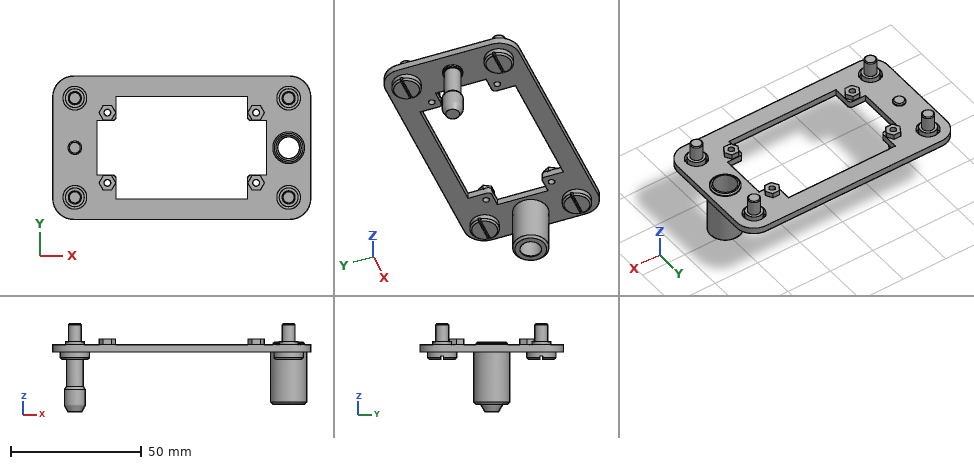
import cadquery as cq
import math

PLATE_LENGTH = 99.0
PLATE_WIDTH = 55.0
PLATE_THICKNESS = 2.9
PLATE_CORNER_RADIUS = 8.1

WINDOW_LONG_X = 64.9
WINDOW_NARROW_Y = 20.8
WINDOW_SHORT_X = 50.3
WINDOW_WIDE_Y = 39.2
TAB_CORNER_RADIUS = 1.5

NUT_X = 28.5
NUT_Y = 13.5
NUT_FLATS = 5.5
NUT_CORNERS = NUT_FLATS / math.cos(math.pi / 6)
NUT_HEIGHT = 2.2
NUT_BORE = 2.5

FASTENER_X = 41.0
SCREW_Y = 19.0
SCREW_HOLE_DIAMETER = 9.1
SCREW_DIAMETER = 5.0
SCREW_TOP = PLATE_THICKNESS + 8.0
SCREW_TIP_CHAMFER = 0.4
COLLAR_DIAMETER = 7.2
COLLAR_TOP = PLATE_THICKNESS + 1.2
HEAD_DIAMETER = 11.3
HEAD_HEIGHT = 2.8
HEAD_CHAMFER = 0.7
SLOT_WIDTH = 1.0
SLOT_DEPTH = 1.3

PIN_LENGTH = 22.9
PIN_TIP_DIAMETER = 5.3
PIN_HEAD_DIAMETER = 8.1
PIN_SHANK_DIAMETER = 6.5
PIN_HEAD_START = 13.2
PIN_SHOULDER_HEIGHT = 1.2
PIN_TAPER_HEIGHT = 2.5
PIN_BLEND_RADIUS = 1.0
PIN_FLANGE_DIAMETER = 7.7
PIN_FLANGE_HEIGHT = 1.1
PIN_FLANGE_CHAMFER = 0.3
PIN_STUB_DIAMETER = 5.1
PIN_STUB_TOP = PLATE_THICKNESS + 1.0
PIN_STUB_CHAMFER = 0.5

BUSHING_LENGTH = 20.0
BUSHING_DIAMETER = 14.0
BUSHING_CHAMFER = 0.9
BUSHING_NECK_DIAMETER = 12.2
BUSHING_TOP = PLATE_THICKNESS + 1.0
BUSHING_NECK_CHAMFER = 0.6
BUSHING_BORE_DIAMETER = 9.7
BUSHING_MOUTH_DIAMETER = 8.2
BUSHING_MOUTH_HEIGHT = 1.3


def cylinder(diameter, bottom, top):
    """Vertical cylinder on the Z axis between two heights."""
    return cq.Workplane("XY").workplane(offset=bottom).circle(diameter / 2).extrude(top - bottom)


def box(length, width, bottom, top):
    """Block centred on the Z axis between two heights."""
    return cq.Workplane("XY").workplane(offset=bottom).rect(length, width).extrude(top - bottom)


def four_corners(x, y):
    """Points mirrored about both the X and Y axes."""
    return [(sx * x, sy * y) for sx in (-1, 1) for sy in (-1, 1)]


def make_plate():
    """Rounded plate with the cross-shaped window."""
    plate = box(PLATE_LENGTH, PLATE_WIDTH, 0, PLATE_THICKNESS)
    plate = plate.edges("|Z").fillet(PLATE_CORNER_RADIUS)

    window = box(WINDOW_LONG_X, WINDOW_NARROW_Y, 0, PLATE_THICKNESS)
    window = window.union(box(WINDOW_SHORT_X, WINDOW_WIDE_Y, 0, PLATE_THICKNESS))
    for x, y in four_corners(WINDOW_SHORT_X / 2, WINDOW_NARROW_Y / 2):
        tab_corner = cq.selectors.NearestToPointSelector((x, y, PLATE_THICKNESS / 2))
        window = window.edges(tab_corner).fillet(TAB_CORNER_RADIUS)
    return plate.cut(window)


def make_nut():
    """Hexagonal nut with two corners on the X direction, before its bore is cut."""
    return (
        cq.Workplane("XY")
        .workplane(offset=PLATE_THICKNESS)
        .polygon(6, NUT_CORNERS)
        .extrude(NUT_HEIGHT)
    )


def make_screw():
    """Screw on the Z axis with its slot along X."""
    head = cylinder(HEAD_DIAMETER, -HEAD_HEIGHT, 0).faces("<Z").chamfer(HEAD_CHAMFER)
    head = head.cut(box(HEAD_DIAMETER, SLOT_WIDTH, -HEAD_HEIGHT, SLOT_DEPTH - HEAD_HEIGHT))
    collar = cylinder(COLLAR_DIAMETER, 0, COLLAR_TOP)
    shank = cylinder(SCREW_DIAMETER, 0, SCREW_TOP).faces(">Z").chamfer(SCREW_TIP_CHAMFER)
    return head.union(collar).union(shank)


def make_guide_pin():
    """Turned pin hanging below the plate, with a short stub standing on top of it."""
    taper_top = PIN_TAPER_HEIGHT - PIN_LENGTH
    head = (
        cq.Workplane("XZ")
        .moveTo(0, -PIN_LENGTH)
        .lineTo(PIN_TIP_DIAMETER / 2, -PIN_LENGTH)
        .lineTo(PIN_HEAD_DIAMETER / 2, taper_top)
        .lineTo(PIN_HEAD_DIAMETER / 2, -PIN_HEAD_START - PIN_SHOULDER_HEIGHT)
        .lineTo(PIN_SHANK_DIAMETER / 2, -PIN_HEAD_START)
        .lineTo(0, -PIN_HEAD_START)
        .close()
        .revolve(360, (0, 0, 0), (0, 1, 0))
    )
    taper_edge = cq.selectors.NearestToPointSelector((0, 0, taper_top))
    head = head.edges(taper_edge).fillet(PIN_BLEND_RADIUS)
    shank = cylinder(PIN_SHANK_DIAMETER, -PIN_HEAD_START, 0)
    flange = cylinder(PIN_FLANGE_DIAMETER, -PIN_FLANGE_HEIGHT, 0).faces("<Z").chamfer(PIN_FLANGE_CHAMFER)
    stub = cylinder(PIN_STUB_DIAMETER, 0, PIN_STUB_TOP).faces(">Z").chamfer(PIN_STUB_CHAMFER)
    return head.union(shank).union(flange).union(stub)


def make_bushing():
    """Solid body of the bushing and its narrower neck above the plate."""
    body = cylinder(BUSHING_DIAMETER, -BUSHING_LENGTH, 0).faces("<Z").chamfer(BUSHING_CHAMFER)
    neck = cylinder(BUSHING_NECK_DIAMETER, 0, BUSHING_TOP).faces(">Z").chamfer(BUSHING_NECK_CHAMFER)
    return body.union(neck)


def make_bushing_bore():
    """Straight bore that tapers in to a smaller mouth at the lower end."""
    return (
        cq.Workplane("XZ")
        .moveTo(0, -BUSHING_LENGTH)
        .lineTo(BUSHING_MOUTH_DIAMETER / 2, -BUSHING_LENGTH)
        .lineTo(BUSHING_BORE_DIAMETER / 2, -BUSHING_LENGTH + BUSHING_MOUTH_HEIGHT)
        .lineTo(BUSHING_BORE_DIAMETER / 2, BUSHING_TOP)
        .lineTo(0, BUSHING_TOP)
        .close()
        .revolve(360, (0, 0, 0), (0, 1, 0))
    )


result = make_plate()

for x, y in four_corners(NUT_X, NUT_Y):
    result = result.union(make_nut().translate((x, y, 0)))
    result = result.cut(cylinder(NUT_BORE, 0, PLATE_THICKNESS + NUT_HEIGHT).translate((x, y, 0)))

for x, y in four_corners(FASTENER_X, SCREW_Y):
    result = result.cut(cylinder(SCREW_HOLE_DIAMETER, 0, PLATE_THICKNESS).translate((x, y, 0)))
    result = result.union(make_screw().translate((x, y, 0)))

result = result.union(make_guide_pin().translate((-FASTENER_X, 0, 0)))
result = result.union(make_bushing().translate((FASTENER_X, 0, 0)))
result = result.cut(make_bushing_bore().translate((FASTENER_X, 0, 0)))